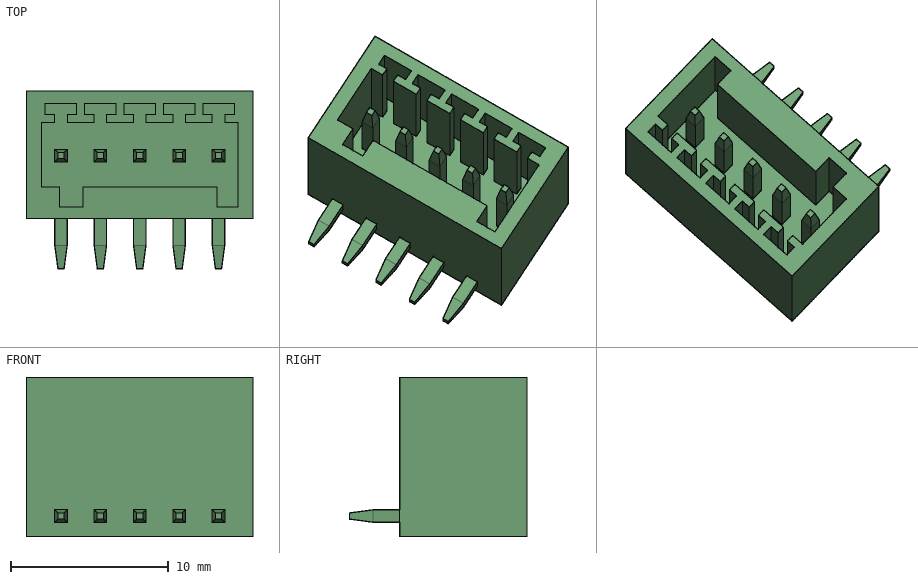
import cadquery as cq
import math

housing_width = 14.4
housing_depth = 8.1
housing_height = 10.1

contact_count = 5
contact_pitch = 2.5
contact_size = 0.8
contact_point_size = 0.4
contact_point_length = 1.5
contact_overhang = 3.2
contact_leg_z = 1.3
contact_post_y = 4.0
contact_post_top = 8.85
contact_xs = [(i - (contact_count - 1) / 2) * contact_pitch for i in range(contact_count)]

floor_thickness = 2 * contact_leg_z
cavity_depth = housing_height - floor_thickness
cavity_half_width = 6.25
cavity_front_y = 2.0
cavity_back_y = housing_depth - 2.0

slot_stem_width = contact_size
slot_head_width = 2.0
slot_head_depth = 0.7
slot_end_y = housing_depth - 0.8

notch_front_y = 0.75
left_notch_x = -5.1
left_notch_width = 1.5
right_notch_x = 4.9


def pocket(x_min, x_max, y_min, y_max):
    """Rectangular cutter from the cavity floor up to the housing top."""
    return (
        cq.Workplane("XY", origin=(x_min, y_min, floor_thickness))
        .box(x_max - x_min, y_max - y_min, cavity_depth, centered=False)
    )


def slot(x):
    """T-shaped cutter: a narrow stem off the cavity and a wide head behind it."""
    stem = pocket(x - slot_stem_width / 2, x + slot_stem_width / 2, cavity_back_y, slot_end_y)
    head = pocket(x - slot_head_width / 2, x + slot_head_width / 2, slot_end_y - slot_head_depth, slot_end_y)
    return stem.union(head)


def pointed_bar(start, direction, length):
    """Square bar along direction, ending in a blunt four-sided point."""
    plane = cq.Plane(origin=start, xDir=(1, 0, 0), normal=direction)
    point_taper = math.degrees(math.atan((contact_size - contact_point_size) / 2 / contact_point_length))
    shank_length = length - contact_point_length
    shank = cq.Workplane(plane).rect(contact_size, contact_size).extrude(shank_length)
    point = (
        cq.Workplane(plane)
        .workplane(offset=shank_length)
        .rect(contact_size, contact_size)
        .extrude(contact_point_length, taper=point_taper)
    )
    return shank.union(point)


def make_contact(x):
    """Right-angle contact: a post up into the cavity and a leg out through the front wall."""
    half_size = contact_size / 2
    post_start = (x, contact_post_y, contact_leg_z - half_size)
    leg_start = (x, contact_post_y + half_size, contact_leg_z)
    post = pointed_bar(post_start, (0, 0, 1), contact_post_top - post_start[2])
    leg = pointed_bar(leg_start, (0, -1, 0), leg_start[1] + contact_overhang)
    return post.union(leg)


def make_housing(separate_contacts, fixed_contact):
    """Slotted, keyed shell with holes for the separate contacts; the fixed contact is part of it."""
    body = (
        cq.Workplane("XY")
        .box(housing_width, housing_depth, housing_height, centered=(True, False, False))
        .cut(pocket(-cavity_half_width, cavity_half_width, cavity_front_y, cavity_back_y))
        .cut(pocket(left_notch_x, left_notch_x + left_notch_width, notch_front_y, cavity_front_y))
        .cut(pocket(right_notch_x, cavity_half_width, notch_front_y, cavity_front_y))
    )
    for x in contact_xs:
        body = body.cut(slot(x))
    for contact in separate_contacts:
        body = body.cut(contact)
    return body.union(fixed_contact)


end_contact = make_contact(contact_xs[0])
contacts = [make_contact(x) for x in contact_xs[1:]]
housing = make_housing(contacts, end_contact)

result = cq.Compound.makeCompound(
    [housing.solids().val(), *[contact.solids().val() for contact in contacts]]
)